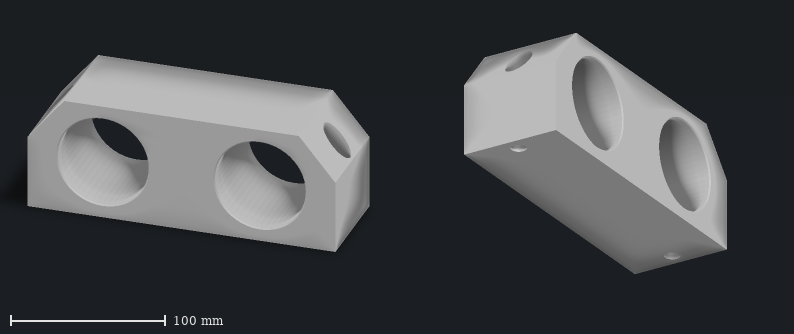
import cadquery as cq

length = 210.0
width = 70.0
height = 80.0
corner_run = 25.0
corner_drop = 30.0
shoulder_height = height - corner_drop

bore_diameter = 62.0
bore_spacing = 107.0
bore_height = height / 2
bore_chamfer = 0.8

screw_spacing = 189.0
screw_diameter = 10.5
counterbore_diameter = 18.0
counterbore_floor = bore_height


def make_block():
    """Rectangular block with both upper end corners cut off."""
    half_length = length / 2
    half_top = half_length - corner_run
    outline = [
        (-half_length, 0),
        (half_length, 0),
        (half_length, shoulder_height),
        (half_top, height),
        (-half_top, height),
        (-half_length, shoulder_height),
    ]
    return cq.Workplane("XZ").polyline(outline).close().extrude(width / 2, both=True)


def make_bore(x):
    """Cutter for one bore, flared by a chamfer at both mouths."""
    bore_radius = bore_diameter / 2
    mouth_radius = bore_radius + bore_chamfer
    half_width = width / 2
    straight_end = half_width - bore_chamfer
    profile = [
        (0, -half_width),
        (mouth_radius, -half_width),
        (bore_radius, -straight_end),
        (bore_radius, straight_end),
        (mouth_radius, half_width),
        (0, half_width),
    ]
    cutter = cq.Workplane("XY").polyline(profile).close().revolve(360, (0, 0), (0, 1))
    return cutter.translate((x, 0, bore_height))


def make_screw_hole(x):
    """Cutter for one counterbored screw hole, open through the slope."""
    shank = cq.Workplane("XY").center(x, 0).circle(screw_diameter / 2).extrude(height)
    counterbore = (
        cq.Workplane("XY", origin=(x, 0, counterbore_floor))
        .circle(counterbore_diameter / 2)
        .extrude(height - counterbore_floor)
    )
    return shank.union(counterbore)


result = make_block()
for side in (-1, 1):
    result = result.cut(make_bore(side * bore_spacing / 2))
    result = result.cut(make_screw_hole(side * screw_spacing / 2))